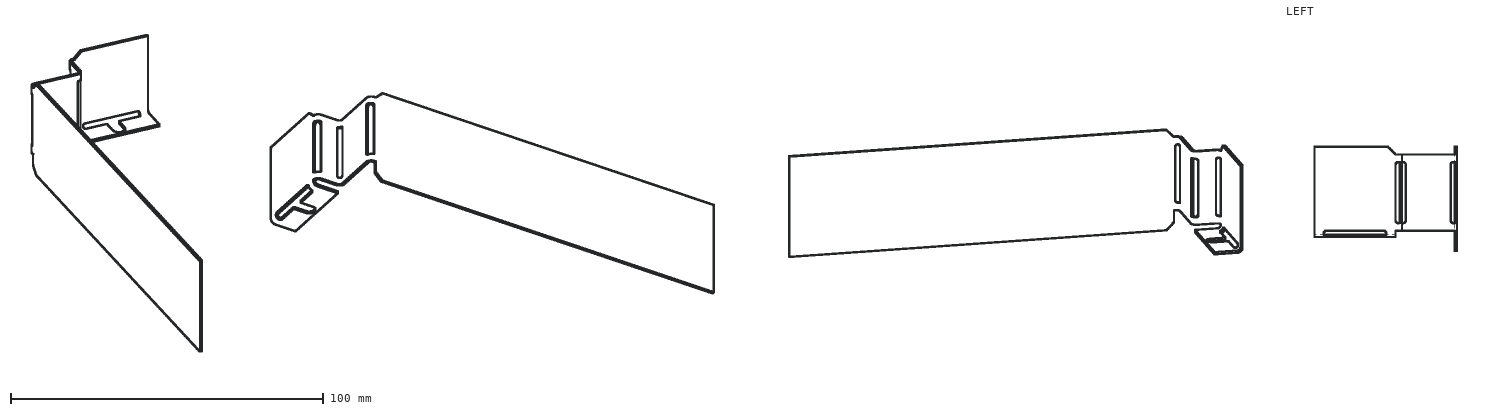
import cadquery as cq

thickness = 0.8
inner_radius = 1.0
outer_radius = inner_radius + thickness

total_length = 138.49
total_depth = 45.69
total_height = 33.5

tab_length = 26.0
tab_front_y = total_depth - tab_length
tab_bottom_z = 4.5
tab_end_x = 9.3
tab_bend_top_z = tab_bottom_z + outer_radius

wall_shoulder_gap = 0.2
wall_shoulder_y = tab_front_y
jog_front_y = wall_shoulder_y - wall_shoulder_gap - outer_radius
jog_back_y = jog_front_y + thickness
riser_left_x = 9.05
riser_right_x = riser_left_x + thickness
plate_length = 127.0
plate_shoulder_x = total_length - plate_length
strip_bottom_z = 6.5
corner_cut = 2.5
strip_top_z = total_height - corner_cut

fixing_slot_width = 4.2
fixing_slot_tip_x = 8.6
fixing_slot_y = tab_front_y + tab_length / 2

slot_overrun = 0.2
slot_corner_radius = 0.8
strip_slot_margin = 2.5
tab_slot_margin = 3.0


def block(x_range, y_range, z_range):
    """Box spanning the given (low, high) ranges."""
    spans = [high - low for low, high in (x_range, y_range, z_range)]
    corner = (x_range[0], y_range[0], z_range[0])
    return cq.Workplane("XY").box(*spans, centered=False).translate(corner)


def folded_strip():
    """Sheet folded three times about Z, at full height before the outline is trimmed."""
    profile = (
        cq.Workplane("XY")
        .moveTo(0, total_depth)
        .lineTo(0, jog_front_y + outer_radius)
        .radiusArc((outer_radius, jog_front_y), -outer_radius)
        .lineTo(riser_left_x - inner_radius, jog_front_y)
        .radiusArc((riser_left_x, jog_front_y - inner_radius), inner_radius)
        .lineTo(riser_left_x, outer_radius)
        .radiusArc((riser_left_x + outer_radius, 0), -outer_radius)
        .lineTo(total_length, 0)
        .lineTo(total_length, thickness)
        .lineTo(riser_right_x + inner_radius, thickness)
        .radiusArc((riser_right_x, thickness + inner_radius), inner_radius)
        .lineTo(riser_right_x, jog_back_y - outer_radius)
        .radiusArc((riser_right_x - outer_radius, jog_back_y), -outer_radius)
        .lineTo(thickness + inner_radius, jog_back_y)
        .radiusArc((thickness, jog_back_y + inner_radius), inner_radius)
        .lineTo(thickness, total_depth)
        .close()
    )
    return profile.extrude(total_height)


def wall_outline():
    """End wall above the tab bend, seen along X, with its front top corner cut off."""
    return (
        cq.Workplane("YZ")
        .moveTo(total_depth, tab_bend_top_z)
        .lineTo(total_depth, total_height)
        .lineTo(wall_shoulder_y + corner_cut, total_height)
        .lineTo(wall_shoulder_y, strip_top_z)
        .lineTo(wall_shoulder_y, tab_bend_top_z)
        .close()
        .extrude(thickness)
    )


def plate_outline():
    """Long plate, seen along Y, with both left corners cut off."""
    return (
        cq.Workplane("XZ")
        .moveTo(plate_shoulder_x, corner_cut)
        .lineTo(plate_shoulder_x + corner_cut, 0)
        .lineTo(total_length, 0)
        .lineTo(total_length, total_height)
        .lineTo(plate_shoulder_x + corner_cut, total_height)
        .lineTo(plate_shoulder_x, strip_top_z)
        .close()
        .extrude(-thickness)
    )


def trimmed_strip():
    """Folded strip cut to the outlines of the end wall, the strip and the plate."""
    strip_band = block((0, total_length), (0, total_depth), (strip_bottom_z, strip_top_z))
    keep = strip_band.union(wall_outline()).union(plate_outline())
    return folded_strip().intersect(keep)


def tab():
    """Bottom tab with its bend up to the end wall."""
    return (
        cq.Workplane("XZ", origin=(0, tab_front_y, 0))
        .moveTo(0, strip_bottom_z)
        .lineTo(0, tab_bend_top_z)
        .radiusArc((outer_radius, tab_bottom_z), -outer_radius)
        .lineTo(tab_end_x, tab_bottom_z)
        .lineTo(tab_end_x, tab_bottom_z + thickness)
        .lineTo(outer_radius, tab_bottom_z + thickness)
        .radiusArc((thickness, tab_bend_top_z), inner_radius)
        .lineTo(thickness, strip_bottom_z)
        .close()
        .extrude(-tab_length)
    )


def bend_slot(length):
    """Cutter for one bend slot, centred along Z.

    The bend's outer corner is at the origin and its sheets run along +X and +Y.
    The ends of the slot are rounded where they run into the flat sheets.
    """
    reach = outer_radius + slot_overrun
    box = block((0, reach), (0, reach), (-length / 2, length / 2))
    rounded_on_x_sheet = box.edges(">X and |Y").fillet(slot_corner_radius)
    rounded_on_y_sheet = box.edges(">Y and |X").fillet(slot_corner_radius)
    return rounded_on_x_sheet.intersect(rounded_on_y_sheet)


def strip_bend_slots():
    """Cutters for the slots in the three bends of the strip."""
    length = strip_top_z - strip_bottom_z - 2 * strip_slot_margin
    middle_z = (strip_top_z + strip_bottom_z) / 2
    slot = bend_slot(length)
    half_turn = slot.rotate((0, 0, 0), (0, 0, 1), 180)
    return [
        slot.translate((0, jog_front_y, middle_z)),
        half_turn.translate((riser_right_x, jog_back_y, middle_z)),
        slot.translate((riser_left_x, 0, middle_z)),
    ]


def tab_bend_slot():
    """Cutter for the slot in the tab bend."""
    upright = bend_slot(tab_length - 2 * tab_slot_margin)
    lying = upright.rotate((0, 0, 0), (1, 0, 0), 90)
    return lying.translate((0, fixing_slot_y, tab_bottom_z))


def fixing_slot():
    """Cutter for the round-ended slot that opens into the tab bend slot."""
    tip_radius = fixing_slot_width / 2
    tip_centre_x = fixing_slot_tip_x - tip_radius
    slot_y = (fixing_slot_y - tip_radius, fixing_slot_y + tip_radius)
    tab_z = (tab_bottom_z, tab_bottom_z + thickness)
    tip = (
        cq.Workplane("XY", origin=(tip_centre_x, fixing_slot_y, tab_bottom_z))
        .circle(tip_radius)
        .extrude(thickness)
    )
    return block((outer_radius, tip_centre_x), slot_y, tab_z).union(tip)


result = trimmed_strip().union(tab())
for cutter in [*strip_bend_slots(), tab_bend_slot(), fixing_slot()]:
    result = result.cut(cutter)